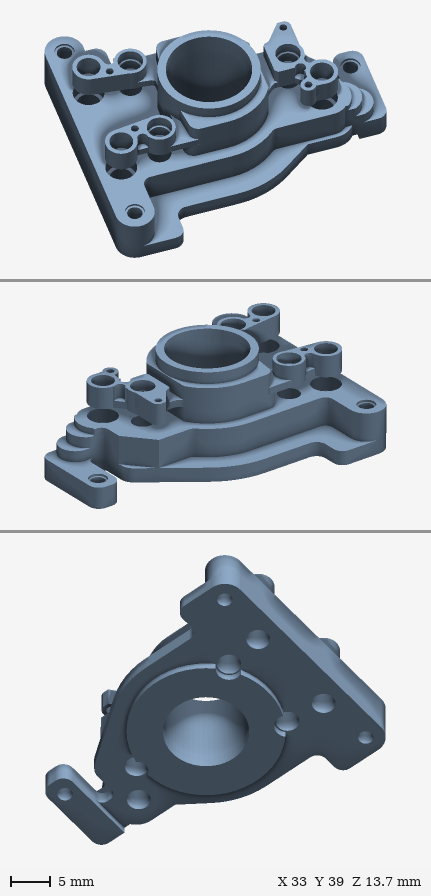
import cadquery as cq
import math

DISC_TOP = 1.0
FLANGE_TOP = 3.0
PLATE_TOP = 7.0
CLAMP_BOTTOM = 9.0
WEB_TOP = 10.0
CLAMP_TOP = 12.0
RING_TOP = 13.65

BORE_R = 5.43
RING_R = 6.5
DISC_R = 10.0
HUB_R = 7.65
HUB_REAR_Y = 6.6
RING_FLAT_Y = -6.4
HUB_LOWER_FRONT_Y = -5.5
HUB_LOWER_CORNER_R = 1.4
HUB_UPPER_CORNER_Y = -4.7
HUB_UPPER_CORNER_R = 1.3
HUB_UPPER_TIP = (-4.2, -5.1)

FLANGE_R = 12.0
FLANGE_SLOPE = math.radians(36)
FRONT_Y = -17.0
EAR_X = 16.5
EAR_R = 2.5
PLATE_EAR_R = EAR_R - 0.01
EAR_TOP_Y = FRONT_Y + 2 * EAR_R
LOWER_EAR_TOP_Y = -8.5
LOWER_EAR_BLEND_R = 1.4
PLATE_R = 9.15
PLATE_BLEND_R = 1.2
REAR_Y = 15.5
FLANGE_RIGHT_X = 7.03
FLANGE_REAR_RIGHT_Y = 17.65
FLANGE_REAR_RIGHT_R = 3.0
FLANGE_REAR_LEFT_R = 2.0
PLATE_RIGHT_X = 6.53
PLATE_LEFT_X = -6.0
PLATE_REAR_LEFT_X = -2.1
PLATE_REAR_RIGHT_Y = 16.9
PLATE_REAR_RIGHT_R = 2.5

ARM_LEFT_X = -6.0
ARM_RIGHT_X = 5.8
ARM_REAR_Y = 22.0
ARM_FRONT_Y = 18.0
ARM_END_R = 1.5
NECK_LEFT_X = 1.2
NECK_BLEND_R = 1.0
ARM_STEPS = [(4.55, 20.5, 2.0), (6.1, 19.0, 1.5), (PLATE_TOP, 17.55, 1.0)]

MOUNT_HOLES = [(-14.0, -14.5), (14.0, -14.5), (-3.6, 19.95)]
MOUNT_R = 0.97
MOUNT_RIM_R = 1.25
MOUNT_RIM_DEPTH = 0.3
PIN_HOLES = [(-5.0, -11.5), (5.0, -11.5), (-5.0, 11.5), (5.0, 11.5)]
PIN_R = 0.5

BOSS_R = 2.05
FRONT_INNER = (-5.8, -8.5)
FRONT_OUTER = (-6.5, -13.8)
REAR_INNER = (-0.7, 10.7)
REAR_OUTER = (3.5, 13.8)
OUTER_HOLE_R = 1.5
INNER_HOLE_R = 1.35
INNER_SEAT_R = 1.6
INNER_SEAT_DEPTH = 1.5
ACCESS_R = 2.0
ACCESS_DEPTH = 2.0
INNER_ACCESS_R = 1.5
DISC_NOTCH_R = 1.7
FRONT_RELIEF = (-6.8, -11.05)
REAR_RELIEFS = [(0.9, 13.05), (2.0, 11.45)]
RELIEF_R = 0.7
PIN_BOSS = (5.0, 11.5)
PIN_BOSS_R = 1.0


def cylinder(centre, radius, bottom, top):
    return cq.Workplane("XY", origin=(0, 0, bottom)).center(*centre).circle(radius).extrude(top - bottom)


def prism(points, bottom, top):
    return cq.Workplane("XY", origin=(0, 0, bottom)).polyline(points).close().extrude(top - bottom)


def box(x_range, y_range, bottom, top):
    x0, x1 = x_range
    y0, y1 = y_range
    return prism([(x0, y0), (x1, y0), (x1, y1), (x0, y1)], bottom, top)


def mirror_x(point):
    return (-point[0], point[1])


def both_sides(point):
    return [point, mirror_x(point)]


def polar(radius, angle):
    return (radius * math.cos(angle), radius * math.sin(angle))


def round_edges(body, radius, points):
    """Round the vertical edges that stand on the given (x, y) points."""
    tolerance = 0.05

    def stands_on_a_point(edge):
        foot = (edge.Center().x, edge.Center().y)
        return any(math.dist(foot, point) < tolerance for point in points)

    return body.edges("|Z").filter(stands_on_a_point).fillet(radius)


def slope_y(x):
    """Y of the sloping flange side at distance x from the centre plane."""
    return (FLANGE_R - x * math.cos(FLANGE_SLOPE)) / math.sin(FLANGE_SLOPE)


def slope_x(y):
    """Distance of the sloping flange side from the centre plane at a given y."""
    return (FLANGE_R - y * math.sin(FLANGE_SLOPE)) / math.cos(FLANGE_SLOPE)


def make_flange():
    arc_end = polar(FLANGE_R, FLANGE_SLOPE)
    arc_middle = polar(FLANGE_R, FLANGE_SLOPE / 2)
    front_corner = (EAR_X, FRONT_Y)
    ear_tip = (EAR_X, LOWER_EAR_TOP_Y)
    ear_root = (FLANGE_R, LOWER_EAR_TOP_Y)
    rear_left = (-slope_x(REAR_Y), REAR_Y)
    rear_right = (FLANGE_RIGHT_X, FLANGE_REAR_RIGHT_Y)
    body = (
        cq.Workplane("XY", origin=(0, 0, DISC_TOP))
        .moveTo(*mirror_x(front_corner))
        .lineTo(*front_corner)
        .lineTo(*ear_tip)
        .lineTo(*ear_root)
        .lineTo(FLANGE_R, 0)
        .threePointArc(arc_middle, arc_end)
        .lineTo(FLANGE_RIGHT_X, slope_y(FLANGE_RIGHT_X))
        .lineTo(*rear_right)
        .lineTo(NECK_LEFT_X, FLANGE_REAR_RIGHT_Y)
        .lineTo(NECK_LEFT_X, REAR_Y)
        .lineTo(*rear_left)
        .lineTo(*mirror_x(arc_end))
        .threePointArc(mirror_x(arc_middle), (-FLANGE_R, 0))
        .lineTo(*mirror_x(ear_root))
        .lineTo(*mirror_x(ear_tip))
        .close()
        .extrude(FLANGE_TOP - DISC_TOP)
    )
    body = round_edges(body, EAR_R, both_sides(front_corner))
    body = round_edges(body, LOWER_EAR_BLEND_R, both_sides(ear_tip) + both_sides(ear_root))
    body = round_edges(body, FLANGE_REAR_LEFT_R, [rear_left])
    return round_edges(body, FLANGE_REAR_RIGHT_R, [rear_right])


def make_plate():
    left_angle = math.acos(-PLATE_LEFT_X / PLATE_R)
    right_angle = math.acos(PLATE_RIGHT_X / PLATE_R)
    left_meet = mirror_x(polar(PLATE_R, left_angle))
    right_meet = polar(PLATE_R, right_angle)
    ear_front = (EAR_X, FRONT_Y)
    ear_back = (EAR_X, EAR_TOP_Y)
    ear_root = (PLATE_R, EAR_TOP_Y)
    rear_right = (PLATE_RIGHT_X, PLATE_REAR_RIGHT_Y)
    body = (
        cq.Workplane("XY", origin=(0, 0, FLANGE_TOP))
        .moveTo(*mirror_x(ear_front))
        .lineTo(*ear_front)
        .lineTo(*ear_back)
        .lineTo(*ear_root)
        .lineTo(PLATE_R, 0)
        .threePointArc(polar(PLATE_R, right_angle / 2), right_meet)
        .lineTo(*rear_right)
        .lineTo(NECK_LEFT_X, PLATE_REAR_RIGHT_Y)
        .lineTo(NECK_LEFT_X, REAR_Y)
        .lineTo(PLATE_REAR_LEFT_X, REAR_Y)
        .lineTo(PLATE_LEFT_X, slope_y(-PLATE_LEFT_X))
        .lineTo(*left_meet)
        .threePointArc(mirror_x(polar(PLATE_R, left_angle / 2)), (-PLATE_R, 0))
        .lineTo(*mirror_x(ear_root))
        .lineTo(*mirror_x(ear_back))
        .close()
        .extrude(PLATE_TOP - FLANGE_TOP)
    )
    body = round_edges(body, PLATE_EAR_R, both_sides(ear_front) + both_sides(ear_back))
    body = round_edges(body, PLATE_BLEND_R, both_sides(ear_root) + [left_meet, right_meet])
    return round_edges(body, PLATE_REAR_RIGHT_R, [rear_right])


def make_arm_step(top, rear_y, depth):
    middle_x = (NECK_LEFT_X + ARM_RIGHT_X) / 2
    return (
        cq.Workplane("XY", origin=(0, 0, DISC_TOP))
        .moveTo(NECK_LEFT_X, REAR_Y)
        .lineTo(ARM_RIGHT_X, REAR_Y)
        .lineTo(ARM_RIGHT_X, rear_y - depth)
        .threePointArc((middle_x, rear_y), (NECK_LEFT_X, rear_y - depth))
        .close()
        .extrude(top - DISC_TOP)
    )


def make_arm():
    arm = box((ARM_LEFT_X, ARM_RIGHT_X), (ARM_FRONT_Y, ARM_REAR_Y), 0, FLANGE_TOP)
    corners = [(ARM_LEFT_X, ARM_FRONT_Y), (ARM_LEFT_X, ARM_REAR_Y), (ARM_RIGHT_X, ARM_REAR_Y)]
    arm = round_edges(arm, ARM_END_R, corners)
    arm = arm.union(box((NECK_LEFT_X, ARM_RIGHT_X), (REAR_Y, ARM_FRONT_Y), DISC_TOP, FLANGE_TOP))
    for top, rear_y, depth in ARM_STEPS:
        arm = arm.union(make_arm_step(top, rear_y, depth))
    return arm


def make_neck_blend(corner_y, direction, top):
    """Concave fillet between the neck's left side and a wall at corner_y, opening along direction."""
    open_x = NECK_LEFT_X - NECK_BLEND_R
    open_y = corner_y + direction * NECK_BLEND_R
    y_range = (min(corner_y, open_y), max(corner_y, open_y))
    square = box((open_x, NECK_LEFT_X), y_range, DISC_TOP, top)
    return square.cut(cylinder((open_x, open_y), NECK_BLEND_R, DISC_TOP, top))


def make_hub_layer(corner_y, corner_r, front_points, bottom, top):
    """Half disc with a flat rear, carried forward by a skirt with rounded front corners."""
    corner = (-HUB_R, corner_y)
    rear = box((-HUB_R, HUB_R), (0, HUB_REAR_Y), bottom, top)
    skirt_outline = [(-HUB_R, 0), corner] + front_points + [mirror_x(corner), (HUB_R, 0)]
    skirt = round_edges(prism(skirt_outline, bottom, top), corner_r, both_sides(corner))
    return cylinder((0, 0), HUB_R, bottom, top).intersect(rear).union(skirt)


def make_hub():
    lower = make_hub_layer(HUB_LOWER_FRONT_Y, HUB_LOWER_CORNER_R, [], PLATE_TOP, CLAMP_BOTTOM)
    tips = both_sides(HUB_UPPER_TIP)
    upper = make_hub_layer(HUB_UPPER_CORNER_Y, HUB_UPPER_CORNER_R, tips, CLAMP_BOTTOM, CLAMP_TOP)
    ring = cylinder((0, 0), RING_R, 0, RING_TOP)
    flat = box((-HUB_R, HUB_R), (-HUB_R, RING_FLAT_Y), PLATE_TOP, CLAMP_BOTTOM)
    disc = cylinder((0, 0), DISC_R, 0, DISC_TOP)
    return lower.union(upper).union(ring.cut(flat)).union(disc)


def make_front_clamp():
    """Left front clamp: two bosses, the bar joining them and the thin web to the hub."""
    web_outline = [
        (-HUB_R, -4.0),
        (-HUB_R, -8.5),
        (-3.8, -8.5),
        (-3.55, -6.4),
        (-3.3, -6.0),
        (-2.6, -6.0),
        (-2.6, -4.0),
    ]
    bar_outline = [(-6.9, -8.5), (-6.9, -13.8), (-4.47, -14.1), (-3.77, -8.3)]
    bar = prism(bar_outline, CLAMP_BOTTOM, CLAMP_TOP)
    bar = bar.cut(cylinder(FRONT_RELIEF, RELIEF_R, WEB_TOP, CLAMP_TOP))
    clamp = prism(web_outline, CLAMP_BOTTOM, WEB_TOP).union(bar)
    for centre in (FRONT_INNER, FRONT_OUTER):
        clamp = clamp.union(cylinder(centre, BOSS_R, CLAMP_BOTTOM, CLAMP_TOP))
    return clamp


def make_rear_web():
    """Thin web between the flat rear of the hub and the rear clamp."""
    return (
        cq.Workplane("XY", origin=(0, 0, CLAMP_BOTTOM))
        .moveTo(-3.9, 6.5)
        .threePointArc((-3.4, 7.1), (-3.2, 7.9))
        .lineTo(-3.2, 8.5)
        .lineTo(1.8, 8.5)
        .lineTo(1.8, 8.1)
        .threePointArc((2.3, 7.4), (3.9, 6.5))
        .close()
        .extrude(WEB_TOP - CLAMP_BOTTOM)
    )


def make_rear_clamp():
    body = (
        cq.Workplane("XY", origin=(0, 0, CLAMP_BOTTOM))
        .moveTo(-2.9, 8.2)
        .lineTo(1.4, 8.2)
        .lineTo(1.8, 8.6)
        .lineTo(1.8, 10.8)
        .lineTo(2.8, 11.85)
        .lineTo(*REAR_OUTER)
        .lineTo(1.5, 13.8)
        .lineTo(0.05, 12.65)
        .threePointArc((-0.75, 12.75), (-1.6, 12.55))
        .lineTo(-5.2, 12.55)
        .threePointArc((-5.7, 12.3), (-5.95, 11.9))
        .lineTo(-5.95, 11.0)
        .lineTo(-3.6, 9.2)
        .threePointArc((-3.3, 8.8), (-3.2, 8.4))
        .close()
        .extrude(CLAMP_TOP - CLAMP_BOTTOM)
    )
    for centre in REAR_RELIEFS:
        body = body.cut(cylinder(centre, RELIEF_R, WEB_TOP, CLAMP_TOP))
    pin_link_outline = [REAR_OUTER, (2.8, 11.9), (3.75, 11.75), (4.2, 10.9), (5.5, 12.4), (5.5, 13.6)]
    body = body.union(prism(pin_link_outline, CLAMP_BOTTOM, CLAMP_TOP)).union(make_rear_web())
    body = body.union(cylinder(PIN_BOSS, PIN_BOSS_R, CLAMP_BOTTOM, CLAMP_TOP))
    return body.union(cylinder(REAR_OUTER, BOSS_R, CLAMP_BOTTOM, CLAMP_TOP))


def cut_clamp_holes(body):
    for centre in both_sides(FRONT_OUTER) + [REAR_OUTER]:
        body = body.cut(cylinder(centre, OUTER_HOLE_R, 0, CLAMP_TOP))
        body = body.cut(cylinder(centre, ACCESS_R, PLATE_TOP - ACCESS_DEPTH, CLAMP_BOTTOM))
    for centre in both_sides(FRONT_INNER) + [REAR_INNER]:
        body = body.cut(cylinder(centre, INNER_HOLE_R, 0, CLAMP_TOP))
        body = body.cut(cylinder(centre, INNER_SEAT_R, CLAMP_TOP - INNER_SEAT_DEPTH, CLAMP_TOP))
        body = body.cut(cylinder(centre, INNER_ACCESS_R, 0, PLATE_TOP))
    for centre in both_sides(FRONT_INNER):
        body = body.cut(cylinder(centre, DISC_NOTCH_R, 0, DISC_TOP))
    for centre in PIN_HOLES:
        body = body.cut(cylinder(centre, PIN_R, CLAMP_BOTTOM, CLAMP_TOP))
    return body


def cut_mount_holes(body):
    for centre in MOUNT_HOLES:
        top = PLATE_TOP if centre[1] < 0 else FLANGE_TOP
        body = body.cut(cylinder(centre, MOUNT_R, 0, top))
        body = body.cut(cylinder(centre, MOUNT_RIM_R, top - MOUNT_RIM_DEPTH, top))
    return body


front_clamp = make_front_clamp()
result = make_flange().union(make_plate()).union(make_arm()).union(make_hub())
result = result.union(make_neck_blend(REAR_Y, 1, PLATE_TOP))
result = result.union(make_neck_blend(ARM_FRONT_Y, -1, FLANGE_TOP))
result = result.union(front_clamp).union(front_clamp.mirror("YZ")).union(make_rear_clamp())
result = cut_clamp_holes(result)
result = cut_mount_holes(result)
result = result.cut(cylinder((0, 0), BORE_R, 0, RING_TOP))